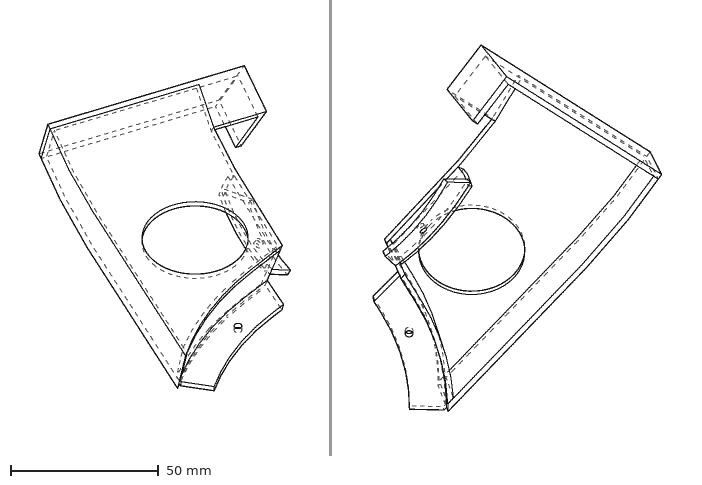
import cadquery as cq
import math

sheet = 2.0
wall_height = 18.0
middle_length = 20.0
middle_slope = 5.0
end_length = 19.5
end_slope = 15.5
front_lean = 4.0
back_lean = 20.4
back_yaw = 0.8
deck_width = 52.7
wing_width = 73.2
wing_lean = 22.0
port_diameter = 36.0
port_center = (26.3, 26.5)
screw_diameter = 2.6
reach = 150.0

curve_center = (139.0, 79.8)
curve_radius = 100.0
curve_start = 25.0
curve_lean = 10.5
curve_depth = 17.8

side_flange_radius = 90.2
side_flange_top = -12.8
side_flange_rise = 2.3
side_flange_end = 52.5
side_screw_radius = 95.5
side_screw_angle = 32.7

trough_radius = 85.0
trough_slope = 39.5
trough_low = (22.6, 56.3, -21.75)
trough_length = 30.0
trough_half_angle = 16.0
trough_screw = (20.2, 5.6)


def slope_vector(length, degrees):
    """X and Z of a length that points toward -X and up at the given slope."""
    return -length * math.cos(math.radians(degrees)), length * math.sin(math.radians(degrees))


def below(point, depth, degrees):
    """The XZ point at a depth square to a panel of the given slope."""
    angle = math.radians(degrees)
    return point[0] - depth * math.sin(angle), point[1] - depth * math.cos(angle)


def shifted(point, vector):
    return point[0] + vector[0], point[1] + vector[1]


def tan(degrees):
    return math.tan(math.radians(degrees))


bend = (0.0, 0.0)
end_bend = shifted(bend, slope_vector(middle_length, middle_slope))
end_corner = shifted(end_bend, slope_vector(end_length, end_slope))
cap_joint = shifted(end_bend, slope_vector(end_length - sheet, end_slope))


def leaning_slab(y_top, lean, y_offset, width, yaw=0.0):
    """A slab between two leaning planes: Y grows with Z at the tangent of the lean."""
    half_rise = reach / 2
    near = y_top + y_offset
    far = near + width
    run = half_rise * tan(lean)
    slab = (
        cq.Workplane("YZ")
        .polyline([(near - run, -half_rise), (far - run, -half_rise),
                   (far + run, half_rise), (near + run, half_rise)])
        .close()
        .extrude(reach, both=True)
    )
    return slab.rotate((0, y_top, 0), (0, y_top, 1), -yaw)


front_thickness = sheet / math.cos(math.radians(front_lean))
back_thickness = sheet / math.cos(math.radians(back_lean))
front_slab = leaning_slab(0, front_lean, 0, front_thickness)
front_outside = leaning_slab(0, front_lean, -reach, reach)
back_slab = leaning_slab(deck_width, back_lean, -back_thickness, back_thickness, back_yaw)
back_outside = leaning_slab(deck_width, back_lean, 0, reach, back_yaw)


def curve_point(radius, degrees):
    angle = math.radians(degrees)
    return (curve_center[0] - radius * math.cos(angle),
            curve_center[1] - radius * math.sin(angle))


def along_curve(section, end_angle):
    """Carry a (radius, Z) section round the curve, and straight on along its flat part."""
    start = math.radians(curve_start)
    plane = cq.Plane(
        origin=(*curve_center, 0),
        xDir=(-math.cos(start), -math.sin(start), 0),
        normal=(-math.sin(start), math.cos(start), 0),
    )
    flat = cq.Workplane(plane).polyline(section).close().extrude(reach)
    sweep = end_angle - curve_start
    curved = cq.Workplane(plane).polyline(section).close().revolve(sweep, (0, 0), (0, 1))
    return flat.union(curved)


def curve_face(z):
    """Radius of the curved wall's outer face at a height."""
    return curve_radius - z * tan(curve_lean)


past_tip = 90.0
past_tip_x = 90.0
above_all = 20.0
below_all = -40.0
near_axis = 1.0


def beside_curve(depth):
    """All space on the axis side of a face set in from the curved wall's outer face."""
    return along_curve(
        [(near_axis, below_all), (curve_face(below_all) + depth, below_all),
         (curve_face(above_all) + depth, above_all), (near_axis, above_all)],
        past_tip,
    )


curve_outside = beside_curve(0)


def panel_prism(left, left_slope, right, right_slope, depth):
    """A prism along Y under one panel, with ends square to the given slopes."""
    outline = [left, right, below(right, depth, right_slope), below(left, depth, left_slope)]
    return cq.Workplane("XZ").polyline(outline).close().extrude(reach / 2, both=True)


def panel(*ends):
    plate = panel_prism(*ends, sheet).cut(front_outside).cut(back_outside)
    wall = panel_prism(*ends, wall_height).intersect(front_slab)
    return plate.union(wall).cut(curve_outside)


port = (
    cq.Workplane("XY")
    .center(*port_center)
    .circle(port_diameter / 2)
    .extrude(sheet * 2, both=True)
)
beyond_tip = (past_tip_x, 0)
deck = panel(bend, middle_slope, beyond_tip, 0).cut(port)
for left, left_slope, right, right_slope in [
    (end_bend, end_slope, bend, middle_slope),
    (cap_joint, end_slope, end_bend, end_slope),
]:
    deck = deck.union(panel(left, left_slope, right, right_slope), clean=False)

end_angle = math.radians(end_slope)
end_plane = cq.Plane(
    origin=(end_corner[0], 0, end_corner[1]),
    xDir=(0, 1, 0),
    normal=(math.cos(end_angle), 0, -math.sin(end_angle)),
)
wing_run = wall_height * tan(wing_lean)
front_margin = sheet * 2
wing_thickness = sheet / math.cos(math.radians(wing_lean))


def end_prism(outline, length):
    return cq.Workplane(end_plane).polyline(outline).close().extrude(length)


end_wall = end_prism(
    [(-front_margin, 0), (wing_width, 0),
     (wing_width - wing_run, -wall_height), (-front_margin, -wall_height)],
    sheet,
).cut(front_outside)
wing_plate = end_prism(
    [(0, 0), (wing_width, 0), (wing_width - sheet * tan(wing_lean), -sheet), (0, -sheet)], end_length
).intersect(back_outside)
wing_wall = end_prism(
    [(wing_width, 0), (wing_width - wing_run, -wall_height),
     (wing_width - wing_run - wing_thickness, -wall_height), (wing_width - wing_thickness, 0)], end_length
)
end_cap = end_wall.union(wing_plate, clean=False).union(wing_wall, clean=False)

curve_thickness = sheet / math.cos(math.radians(curve_lean))
curved_wall = (
    along_curve(
        [(curve_face(-sheet), -sheet), (curve_face(-curve_depth), -curve_depth),
         (curve_face(-curve_depth) + curve_thickness, -curve_depth),
         (curve_face(-sheet) + curve_thickness, -sheet)],
        past_tip,
    )
    .cut(back_outside)
    .cut(front_outside)
    .cut(deck)
)

side_flange_tip = curve_point(side_flange_radius, side_flange_end)
side_plate = (
    cq.Workplane("XY")
    .box(reach, reach, sheet)
    .translate((0, 0, -sheet / 2))
    .rotate((0, 0, 0), (0, 1, 0), -side_flange_rise)
    .translate((*side_flange_tip, side_flange_top))
)
side_strip = along_curve(
    [(side_flange_radius, 0), (side_flange_radius, below_all),
     (curve_face(below_all), below_all), (curve_face(0), 0)],
    side_flange_end,
)
side_screw = (
    cq.Workplane("XY")
    .center(*curve_point(side_screw_radius, side_screw_angle))
    .circle(screw_diameter / 2)
    .extrude(below_all)
)
side_flange = (
    side_strip.intersect(side_plate)
    .intersect(curve_outside)
    .cut(back_outside)
    .cut(front_outside)
    .cut(deck)
    .cut(side_screw)
)

trough_angle = math.radians(trough_slope)
trough_plane = cq.Plane(
    origin=trough_low,
    xDir=(1, 0, 0),
    normal=(0, -math.cos(trough_angle), math.sin(trough_angle)),
)
trough_axis_height = trough_radius + sheet
left_angle = math.radians(trough_half_angle)


def trough_point(radius, angle):
    return radius * math.sin(angle), trough_axis_height - radius * math.cos(angle)


def trough(inner, outer, length):
    """A curved plate between two radii, with ends square to it."""
    return (
        cq.Workplane(trough_plane)
        .moveTo(*trough_point(inner, -left_angle))
        .threePointArc(trough_point(inner, 0), trough_point(inner, left_angle))
        .lineTo(*trough_point(outer, left_angle))
        .threePointArc(trough_point(outer, 0), trough_point(outer, -left_angle))
        .close()
        .extrude(length)
    )


screw_x = trough_screw[0] - trough_low[0]
screw_plane = cq.Plane(
    origin=trough_plane.toWorldCoords((screw_x, 0, trough_screw[1])),
    xDir=(1, 0, 0),
    normal=trough_plane.yDir,
)
back_screw = cq.Workplane(screw_plane).circle(screw_diameter / 2).extrude(sheet * 2, both=True)
back_flange = (
    trough(trough_radius, trough_radius + sheet, trough_length)
    .intersect(back_outside)
    .cut(curve_outside)
    .cut(back_screw)
)

trough_to_axis = trough(near_axis, trough_radius + sheet, reach)
below_deck = (
    cq.Workplane("XY", origin=(0, 0, -sheet))
    .box(reach, reach, reach, centered=(False, True, False))
    .translate((0, 0, -reach))
)
back_wall = (
    back_slab.intersect(trough_to_axis)
    .intersect(below_deck)
    .cut(beside_curve(curve_thickness))
)

result = cq.Compound.makeCompound(
    [body.val() for body in (deck, end_cap, curved_wall, side_flange, back_flange, back_wall)]
)